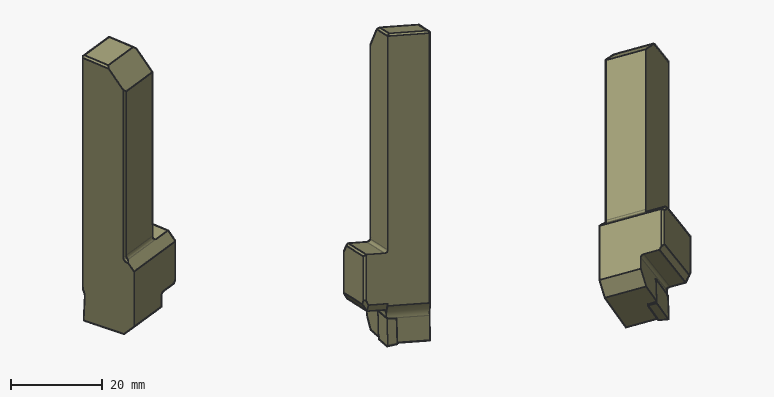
import cadquery as cq
import math

length = 70.0
head_width = 14.5
head_depth = 15.5
shank_width = 12.0
shank_depth = 10.0
edge_chamfer = 0.5
top_corner_cut = 4.9

head_top = 21.0
head_bottom = 8.1
shoulder_fillet = 0.7
slope_fillet = 2.8 / 2
shoulder_drop = 2.0
lower_corner_x = 11.75
lower_corner_z = 1.4
lower_corner_top = 4.4
bevel_start = 9.65
bevel_angle = 60.0
back_bevel_depth = 1.0
back_bevel_height = 1.55

groove_start = 9.2
groove_depth = 0.9
groove_end = 6.2
groove_middle_depth = 0.85
flank_x = 0.6
flank_z = 0.5
nose_chamfer = 0.2

insert_side = 6.3
insert_thickness = 2.3
insert_lead = 4.5
insert_relief = 6.0
insert_nose = 0.4
insert_x = -0.035
insert_z = -0.035

bevel_slope = math.tan(math.radians(bevel_angle))


slope_foot_z = head_top - shoulder_drop
slope_top_z = slope_foot_z + head_width - shank_width
upper_outline = [
    (head_width, slope_foot_z),
    (shank_width, slope_top_z),
    (shank_width, length - top_corner_cut),
    (shank_width - top_corner_cut, length),
    (0, length),
]


def nearest_edge(x, y, z):
    return cq.selectors.NearestToPointSelector((x, y, z))


def make_outer_shank():
    """Shank and front part of the head, with the relief groove above the flank."""
    groove_middle = (groove_middle_depth, (groove_start + groove_end) / 2)
    shank = (
        cq.Workplane("XZ")
        .polyline([
            (0, groove_start), *reversed(upper_outline),
            (head_width, lower_corner_top), (lower_corner_x, lower_corner_z),
            (flank_x, flank_z), (groove_depth, groove_end),
        ])
        .threePointArc(groove_middle, (0, groove_start))
        .close().extrude(-shank_depth)
    )
    slope_top = nearest_edge(shank_width, shank_depth / 2, slope_top_z)
    shank = shank.edges(slope_top).fillet(slope_fillet)
    return shank.edges(nearest_edge(flank_x, shank_depth / 2, flank_z)).chamfer(nose_chamfer)


def make_shank_envelope():
    """Block with the bevelled front -X edge and the bevelled end face."""
    block = cq.Workplane("XY").box(head_width, shank_depth, length, centered=False)
    block = block.faces(">Z").edges("<X or <Y or >Y").chamfer(edge_chamfer)
    return block.edges("|Z and <X and <Y").chamfer(edge_chamfer)


def make_head():
    """Rear part of the head, behind the shank, with bevelled back edges."""
    bevel_end_x = (bevel_start - head_bottom) / bevel_slope
    head = (
        cq.Workplane("XZ", origin=(0, shank_depth, 0))
        .polyline([
            (0, bevel_start), (bevel_end_x, head_bottom), (head_width, head_bottom),
            (head_width, slope_foot_z), (head_width - shoulder_drop, head_top), (0, head_top),
        ])
        .close().extrude(shank_depth - head_depth)
    )
    margin = 0.1
    upper_back = cq.selectors.BoxSelector(
        (-margin, head_depth - margin, bevel_start),
        (head_width + margin, head_depth + margin, head_top + margin),
    )
    return head.edges(upper_back).chamfer(edge_chamfer).cut(make_lower_back_cutter())


def make_lower_back_cutter():
    """Prisms that bevel the back edges of the head bottom and of the sloped -X corner."""
    bottom_cutter = (
        cq.Workplane("YZ")
        .polyline([
            (head_depth - back_bevel_depth, head_bottom),
            (head_depth, head_bottom),
            (head_depth, head_bottom + back_bevel_height),
        ])
        .close().extrude(head_width)
    )
    angle = math.radians(bevel_angle)
    down_the_slope = (math.cos(angle), 0, -math.sin(angle))
    slope_plane = cq.Plane((0, head_depth, bevel_start), xDir=(0, -1, 0), normal=down_the_slope)
    corner_cutter = (
        cq.Workplane(slope_plane)
        .polyline([(0, 0), (back_bevel_depth, 0), (0, -back_bevel_depth)])
        .close().extrude(head_depth, both=True)
    )
    return bottom_cutter.union(corner_cutter)


def make_shoulder_cutter():
    """Block flaring at 45 degrees towards -Y, bevelling the front +X shank edge and shoulder foot."""
    corner_radius = shoulder_fillet + edge_chamfer
    return (
        cq.Workplane("XZ", origin=(shank_width - edge_chamfer, 0, head_top - edge_chamfer))
        .moveTo(corner_radius, 0).lineTo(length, 0).lineTo(length, length).lineTo(0, length)
        .lineTo(0, corner_radius)
        .radiusArc((corner_radius, 0), -corner_radius)
        .close().extrude(-edge_chamfer, taper=45)
    )


def make_insert():
    """Insert tapering from its cutting edges at the back to its seat."""
    lead = math.radians(insert_lead)
    bottom_step = (insert_side * math.cos(lead), insert_side * math.sin(lead))
    side_step = (insert_side * math.sin(lead), insert_side * math.cos(lead))
    opposite = (bottom_step[0] + side_step[0], bottom_step[1] + side_step[1])
    return (
        cq.Workplane("XZ", origin=(insert_x, shank_depth, insert_z))
        .polyline([(0, 0), bottom_step, opposite, side_step]).close()
        .extrude(insert_thickness, taper=insert_relief)
        .edges(nearest_edge(insert_x, shank_depth - insert_thickness / 2, insert_z)).fillet(insert_nose)
    )


def make_holder(insert):
    holder = make_outer_shank().intersect(make_shank_envelope()).union(make_head())
    middle_x = head_width / 2
    for foot_z in (head_top, head_bottom):
        holder = holder.edges(nearest_edge(middle_x, shank_depth, foot_z)).fillet(shoulder_fillet)
    return holder.cut(make_shoulder_cutter()).cut(insert)


insert = make_insert()
holder = make_holder(insert)
result = cq.Compound.makeCompound([holder.val(), insert.val()])